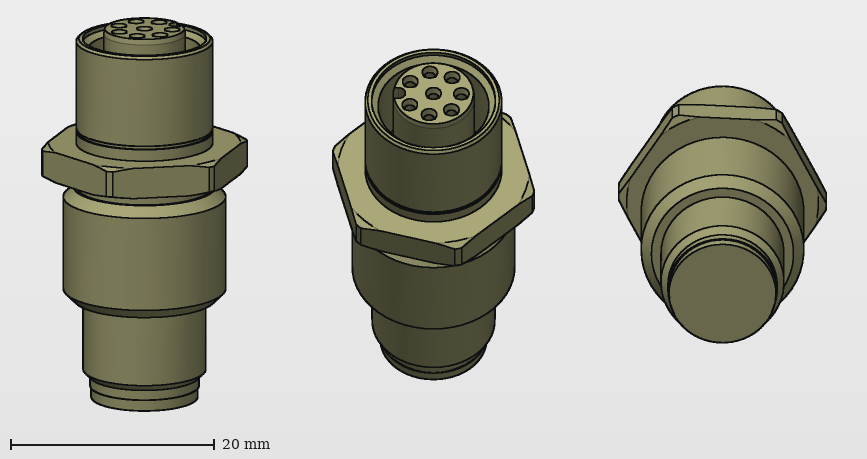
import cadquery as cq
import math

total_height = 37.5

end_radius = 5.25
collar_radius = 5.35
collar_bottom = 1.12
collar_top = 2.15
lower_radius = 6.05
lower_bottom = 2.8
body_radius = 8.0
body_bottom = 10.0
body_top = 21.4
body_chamfer = 1.0
sleeve_radius = 6.7
groove_radius = 6.52
groove_bottom = 27.05
groove_top = 27.38
sleeve_top = 36.5
rim_chamfer = 0.25

recess_radius = 5.45
mouth_radius = 6.08
mouth_depth = 0.9
mouth_lip = 0.4
recess_floor = groove_top

insert_radius = 4.0
insert_top_radius = 3.9
insert_chamfer_height = 0.52

ring_radius = 2.75
ring_count = 7
ring_pitch = 49.1
ring_start = 24.6
contact_radius = 0.52
contact_depth = 3.75
countersink_radius = 0.75
countersink_depth = 0.68

ring_gap = 360.0 - (ring_count - 1) * ring_pitch
key_angle = ring_start + ring_gap / 2
key_radius = 0.68
key_distance = 3.45

nut_sides = 6
nut_flats = 18.0
nut_corner_radius = 10.2
nut_bottom = 22.8
nut_height = 3.08
nut_face_radius = 9.4
nut_chamfer_height = 0.25
nut_turn = 42.0


def revolve_about_z(profile):
    """Turn a closed (radius, height) outline into a solid of revolution about Z."""
    return cq.Workplane("XZ").polyline(profile).close().revolve(360, (0, 0), (0, 1))


def turn_about_z(shape, angle):
    return shape.rotate((0, 0, 0), (0, 0, 1), angle)


def make_housing():
    """Revolve the stepped outside together with the socket recess."""
    profile = [
        (0, 0),
        (end_radius, 0),
        (end_radius, collar_bottom),
        (collar_radius, collar_bottom),
        (collar_radius, collar_top),
        (lower_radius, lower_bottom),
        (lower_radius, body_bottom),
        (body_radius - body_chamfer, body_bottom),
        (body_radius, body_bottom + body_chamfer),
        (body_radius, body_top - body_chamfer),
        (body_radius - body_chamfer, body_top),
        (sleeve_radius, body_top),
        (sleeve_radius, groove_bottom),
        (groove_radius, groove_bottom),
        (groove_radius, groove_top),
        (sleeve_radius, groove_top),
        (sleeve_radius, sleeve_top - rim_chamfer),
        (sleeve_radius - rim_chamfer, sleeve_top),
        (mouth_radius, sleeve_top),
        (mouth_radius, sleeve_top - mouth_lip),
        (recess_radius, sleeve_top - mouth_depth),
        (recess_radius, recess_floor),
        (0, recess_floor),
    ]
    return revolve_about_z(profile)


def make_nut():
    """Hexagon with rounded-off corners, chamfered on both faces and bored for the sleeve."""
    hexagon = (
        cq.Workplane("XY")
        .workplane(offset=nut_bottom)
        .polygon(nut_sides, nut_flats / math.cos(math.pi / nut_sides))
        .extrude(nut_height)
    )
    nut_top = nut_bottom + nut_height
    ring_profile = [
        (sleeve_radius, nut_bottom),
        (nut_face_radius, nut_bottom),
        (nut_corner_radius, nut_bottom + nut_chamfer_height),
        (nut_corner_radius, nut_top - nut_chamfer_height),
        (nut_face_radius, nut_top),
        (sleeve_radius, nut_top),
    ]
    ring = revolve_about_z(ring_profile)
    return turn_about_z(hexagon, nut_turn).intersect(ring)


def make_contact_hole():
    """Cutter for one countersunk contact hole on the central axis."""
    profile = [
        (0, total_height),
        (countersink_radius, total_height),
        (contact_radius, total_height - countersink_depth),
        (contact_radius, total_height - contact_depth),
        (0, total_height - contact_depth),
    ]
    return revolve_about_z(profile)


def make_keyway():
    """Cutter for the round-bottomed keyway, open to the side of the insert."""
    height = total_height - recess_floor
    plane = cq.Workplane("XY").workplane(offset=recess_floor)
    round_bottom = plane.center(key_distance, 0).circle(key_radius).extrude(height)
    open_side = (
        plane.center(key_distance + insert_radius / 2, 0)
        .rect(insert_radius, 2 * key_radius)
        .extrude(height)
    )
    return turn_about_z(round_bottom.union(open_side), key_angle)


def make_insert():
    """Tapered-top cylinder with the keyway and the contact holes cut into it."""
    profile = [
        (0, recess_floor),
        (insert_radius, recess_floor),
        (insert_radius, total_height - insert_chamfer_height),
        (insert_top_radius, total_height),
        (0, total_height),
    ]
    insert = revolve_about_z(profile)
    insert = insert.cut(make_keyway())

    hole = make_contact_hole()
    insert = insert.cut(hole)
    for i in range(ring_count):
        angle = ring_start - i * ring_pitch
        insert = insert.cut(turn_about_z(hole.translate((ring_radius, 0, 0)), angle))
    return insert


housing = make_housing()
nut = make_nut()
insert = make_insert()

result = cq.Compound.makeCompound([housing.val(), nut.val(), insert.val()])